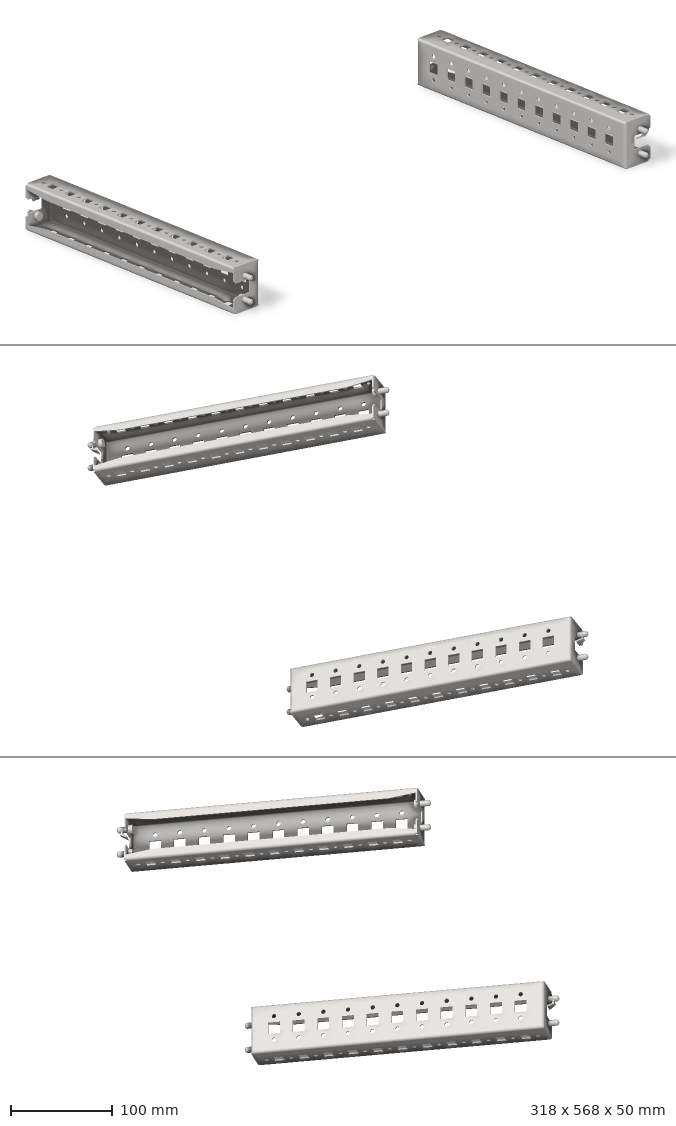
import cadquery as cq

rail_length = 297.0
rail_depth = 34.5
rail_height = 50.0
sheet = 1.5
bend_radius = 2.5
end_bend_radius = 3.0
outer_face_y = 284.0

lip_gap = 31.5
lip_gap_at_end = 38.5
lip_taper_length = 27.0

notch_height = 15.0
notch_depth = 22.0
notch_corner_radius = 2.5

pitch = 25.0
square_count = 11
web_square = 12.0
flange_square = 9.5
hole_diameter = 4.5
web_hole_z = 12.5
hole_line_depth = 14.5

pin_diameter = 6.0
pin_reach = 10.5
pin_tip_chamfer = 1.5
pin_head_diameter = 9.0
pin_head_thickness = 4.0
pin_z = 12.8

hook_reach = 7.0
hook_nose_z = 7.0
hook_root_bottom_z = 3.0
hook_root_top_z = 5.0
hook_root_width = 9.0
hook_nose_width = 5.0
stem_inner = 4.4
stem_thickness = 1.5
stem_width = 4.0

half_length = rail_length / 2
half_height = rail_height / 2
end_inner_x = half_length - sheet
web_hole_cut = 2 * sheet


def bar(length, height):
    """Block centred on X and Z whose front face lies on y = 0."""
    return cq.Workplane("XY").box(length, rail_depth, height, centered=(True, False, True))


def envelope():
    """Outer form of the rail, rounded along its four long bends."""
    return bar(rail_length, rail_height).edges("|X").fillet(bend_radius)


def channel():
    """Web, two flanges and two lips, bent from one sheet; the flanges run the full length.

    The lips stop at the end plates and the web stops short of the end bends.
    """
    inside = (
        bar(rail_length, rail_height - 2 * sheet)
        .intersect(bar(rail_length, rail_height).translate((0, sheet, 0)))
        .intersect(bar(rail_length, rail_height).translate((0, -sheet, 0)))
        .edges("|X")
        .fillet(bend_radius - sheet)
    )
    sheet_form = envelope().cut(inside)
    for end in (-1, 1):
        lip_end = cq.Workplane("XY").box(2 * sheet, 2 * bend_radius, rail_height)
        sheet_form = sheet_form.cut(lip_end.translate((end * half_length, 0, 0)))
        web_end = cq.Workplane("XY").box(2 * end_bend_radius, 2 * end_bend_radius, rail_height - 2 * sheet)
        sheet_form = sheet_form.cut(web_end.translate((end * half_length, rail_depth, 0)))
    return sheet_form


def end_plates():
    """End plates between the flanges, bent forward from the web."""
    panel_height = rail_height - 2 * sheet
    panel = bar(rail_length, panel_height).edges(">Y and |Z").fillet(end_bend_radius)
    inside = (
        bar(2 * end_inner_x, panel_height)
        .translate((0, -sheet, 0))
        .edges(">Y and |Z")
        .fillet(end_bend_radius - sheet)
    )
    return panel.cut(inside).intersect(envelope())


def lip_opening():
    """Opening between the lips, flaring towards both rail ends."""
    taper_x = end_inner_x - lip_taper_length
    middle_z = lip_gap / 2
    end_z = lip_gap_at_end / 2
    return (
        cq.Workplane("XZ")
        .polyline([
            (-end_inner_x, -end_z),
            (-taper_x, -middle_z),
            (taper_x, -middle_z),
            (end_inner_x, -end_z),
            (end_inner_x, end_z),
            (taper_x, middle_z),
            (-taper_x, middle_z),
            (-end_inner_x, end_z),
        ])
        .close()
        .extrude(-bend_radius)
    )


def end_notch():
    """Notch through both end plates, open towards the lips, with rounded mouth corners."""
    half_notch = notch_height / 2
    r = notch_corner_radius
    return (
        cq.Workplane("YZ")
        .moveTo(0, half_notch + r)
        .radiusArc((r, half_notch), r)
        .lineTo(notch_depth, half_notch)
        .lineTo(notch_depth, -half_notch)
        .lineTo(r, -half_notch)
        .radiusArc((0, -half_notch - r), r)
        .close()
        .extrude(half_length, both=True)
    )


def centered_row(count):
    """Points spaced one pitch apart along X, centred on the middle of the rail."""
    return [((i - (count - 1) / 2) * pitch, 0) for i in range(count)]


def web_holes():
    """Row of square holes along the web with a round hole above and below each."""
    web_plane = cq.Workplane("XZ", origin=(0, rail_depth, 0))
    centers = centered_row(square_count)
    squares = web_plane.pushPoints(centers).rect(web_square, web_square).extrude(web_hole_cut)
    round_centers = [(x, side * web_hole_z) for x, _ in centers for side in (-1, 1)]
    rounds = web_plane.pushPoints(round_centers).circle(hole_diameter / 2).extrude(web_hole_cut)
    return squares.add(rounds)


def flange_holes():
    """Alternating round and square holes through both flanges."""
    flange_plane = cq.Workplane("XY", origin=(0, hole_line_depth, 0))
    squares = (
        flange_plane.pushPoints(centered_row(square_count))
        .rect(flange_square, flange_square)
        .extrude(half_height, both=True)
    )
    rounds = (
        flange_plane.pushPoints(centered_row(square_count + 1))
        .circle(hole_diameter / 2)
        .extrude(half_height, both=True)
    )
    return squares.add(rounds)


def pin(end, side):
    """Headed pin through an end plate; `end` is the rail end and `side` the upper or lower row."""
    shank = (
        cq.Workplane("YZ")
        .circle(pin_diameter / 2)
        .extrude(sheet + pin_reach)
        .faces(">X")
        .chamfer(pin_tip_chamfer)
    )
    head = cq.Workplane("YZ").circle(pin_head_diameter / 2).extrude(-pin_head_thickness)
    body = shank.union(head).translate((end_inner_x, hole_line_depth, side * pin_z))
    return body if end > 0 else body.mirror("YZ")


def hook():
    """Hook at the -X end: a stem down from the pin and a tongue sloping back to the end plate."""
    profile = (
        cq.Workplane("XZ")
        .polyline([
            (0, hook_root_bottom_z), (-hook_reach, hook_nose_z),
            (-stem_inner, hook_nose_z), (0, hook_root_top_z),
        ])
        .close()
        .extrude(hook_root_width / 2, both=True)
    )
    taper = (
        cq.Workplane("XY")
        .polyline([
            (0, -hook_root_width / 2), (-hook_reach, -hook_nose_width / 2),
            (-hook_reach, hook_nose_width / 2), (0, hook_root_width / 2),
        ])
        .close()
        .extrude(pin_z)
    )
    stem_bottom_z = hook_nose_z - stem_thickness / 2
    stem = (
        cq.Workplane("XY", origin=(-stem_inner - stem_thickness / 2, 0, stem_bottom_z))
        .rect(stem_thickness, stem_width)
        .extrude(pin_z - stem_bottom_z)
    )
    return profile.intersect(taper).union(stem).translate((-half_length, hole_line_depth, 0))


def pin_hole(end, side):
    """Cutter for the end plate hole that a pin's shank fills."""
    return (
        cq.Workplane("YZ", origin=(end * half_length, hole_line_depth, side * pin_z))
        .circle(pin_diameter / 2)
        .extrude(-end * sheet)
    )


def punched_rail():
    """Rail with every opening cut."""
    rail = channel().cut(lip_opening()).union(end_plates()).cut(end_notch())
    for holes in (web_holes(), flange_holes()):
        for hole in holes.vals():
            rail = rail.cut(cq.Workplane(hole))
    for end, side in ((-1, -1), (-1, 1), (1, -1), (1, 1)):
        rail = rail.cut(pin_hole(end, side))
    return rail


def hooked_pin():
    """Upper pin at the -X end with its hook."""
    return pin(-1, 1).union(hook())


def place(body, turn):
    """Turn a body about the middle of the assembly and move it out to its rail's position."""
    return body.translate((0, -outer_face_y, 0)).rotate((0, 0, 0), (0, 0, 1), turn)


plain_pin_places = [(-1, -1), (1, -1), (1, 1)]
rail = punched_rail()
plain_pins = [pin(end, side) for end, side in plain_pin_places]
locking_pin = hooked_pin()

bodies = []
for turn in (0, 180):
    for body in (rail, *plain_pins, locking_pin):
        bodies.append(place(body, turn).val())

result = cq.Compound.makeCompound(bodies)